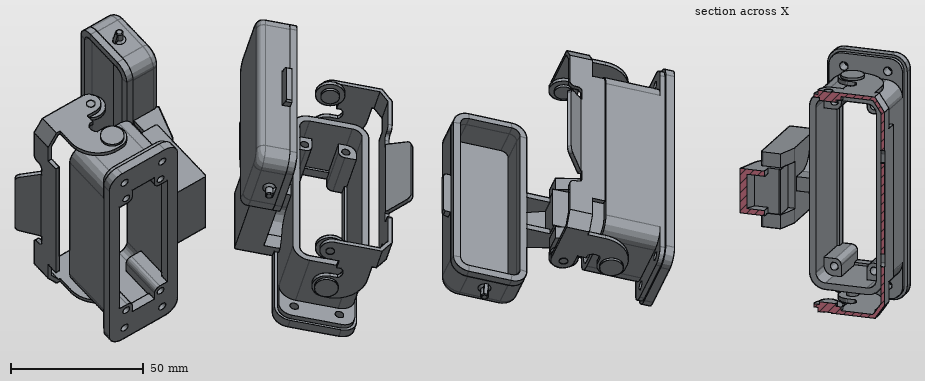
import cadquery as cq
import math


flange_length = 98.0
flange_width = 32.0
flange_corner = 6.1
flange_thickness = 3.5
step_thickness = 1.9
step_inset = 1.0
flange_hole_y = 8.8
flange_hole_z = 42.8
flange_hole_diameter = 3.3

housing_front_x = -26.95
housing_width = 29.6
housing_length = 79.0
housing_corner = 6.5
wall = 2.6
lip = 1.0
post_front_x = -18.1
post_size = 7.0
post_round = 2.45
screw_y = 8.0
screw_z = 33.0
screw_diameter = 3.1

inner_width = housing_width - 2 * wall
inner_length = housing_length - 2 * wall

cover_z = 0.4
cover_x = -59.8
cover_width = 29.6
cover_length = 79.6
cover_corner = 6.8
cover_back_y = 40.7
cover_rim_y = 25.1
cover_back_fillet = 2.9
rim_height = 3.1
rim_inset = 0.2
rim_corner = 6.1
rim_slope_height = 0.3
cover_wall = 2.9
cavity_corner = 3.3
cavity_depth = 13.2
cavity_mouth_depth = 3.1
cavity_mouth_flare = 0.4

bar_end_x = -77.4
bar_low_y = 28.1
bar_tip_y = 30.3
bar_root_y = 31.3
bar_length = 18.6
bar_chamfer = 0.7

latch_x = -59.7
latch_y = 32.5
latch_radius = 1.5
latch_height = 4.5
latch_base_radius = 2.6
latch_base_height = 0.9
latch_fin_reach = 2.6
latch_fin_thickness = 1.6
latch_chamfer = 0.4
latch_bury = 0.2

hinge_half = 15.0
hinge_front_x = -34.4
hinge_tail_x = -2.7
hinge_top_y = 31.6
hinge_bottom_y = 21.1
hinge_bevel_y = 23.6
hinge_bevel_x = -26.4
hinge_round = 0.8
tail_bottom_y = 16.7
bracket_bury = 0.3
bracket_rib_x = -24.0
bracket_rib_half = 2.8
bracket_arc_x = -17.3
bracket_arc_end_x = -9.6
bracket_arc_end_half = 11.0
bracket_foot_x = -7.2
bracket_end_x = -5.1
slot_half = 9.4
slot_end_x = -25.5
hinge_pin_x = -30.9
hinge_pin_y = 27.9
hinge_pin_radius = 1.5

arm_half = 9.0
arm_end_x = -27.0
arm_root_y = 40.4
arm_knee_x = -30.4
arm_knee_y = 35.9
arm_knee_drop = 3.1
arm_rib_y = 28.5
arm_rib_thickness = 2.3
arm_web_x = -35.0
arm_lip = 0.7
arm_chamfer = 0.3
arm_foot_y = 23.3
arm_back_wall = 2.0

sheet = 1.7
lever_left_x = -42.9
lever_foot_x = -33.9
lever_front_y = -19.8
lever_half = 44.4
lever_bend_y = -15.9
lever_bend_z = 38.7
tab_x = -29.0
tab_half = 30.7
notch_half = 23.7
notch_x = -38.1
notch_round = 2.0
flap_root_x = -38.6
flap_root_half = 18.2
flap_tip_half = 15.3
flap_round = 2.45
flap_length = 9.8
flap_angle = 50.0
flap_sheet = 1.6

pivot_x = -19.9
pivot_radius = 2.4
pivot_head_radius = 4.5
pivot_head_height = 1.0
pivot_eye_radius = 5.5

side_head_y = 2.6
catch_x = -30.3
catch_y = -1.4
scoop_start_y = -2.9
scoop_x = -27.9
scoop_y = -4.3
heel_mid_x = -17.9
heel_mid_y = -10.4
heel_end_x = -26.9
heel_y = -14.2

roller_x = -37.9
roller_y = 3.1
roller_radius = 5.6
roller_thickness = 1.5
roller_boss_radius = 3.5
roller_boss_height = 1.1
rivet_radius = 1.7
rivet_recess = 0.2


def both_ends(body, z=0):
    """The body together with its mirror image in the plane at height z."""
    return body.union(body.mirror("XY", (0, 0, z)))


def rounded_prism(x_start, x_end, width, length, corner):
    """Block along X with rounded long edges, centred on Y = Z = 0."""
    return (
        cq.Workplane("YZ", origin=(x_start, 0, 0))
        .rect(width, length)
        .extrude(x_end - x_start)
        .edges("|X")
        .fillet(corner)
    )


def disc(x, y, z, radius, height):
    """Round disc rising along +Z from height z."""
    return cq.Workplane("XY", origin=(x, y, z)).circle(radius).extrude(height)


def corner_posts():
    """Four screw posts in the inner corners, each with its free corner rounded."""
    post = (
        cq.Workplane("XY")
        .box(-post_front_x, post_size, post_size)
        .edges("|X and <Y")
        .edges("<Z")
        .fillet(post_round)
        .translate((post_front_x / 2, (inner_width - post_size) / 2, (inner_length - post_size) / 2))
    )
    limit = rounded_prism(post_front_x, 0, inner_width, inner_length, housing_corner - wall)
    posts = both_ends(post.intersect(limit))
    return posts.union(posts.mirror("XZ"))


def four_holes(x_start, y, z, diameter):
    """Four through holes along X at +-y, +-z, running from x_start to the flange face."""
    return (
        cq.Workplane("YZ", origin=(x_start, 0, 0))
        .rect(2 * y, 2 * z, forConstruction=True)
        .vertices()
        .circle(diameter / 2)
        .extrude(-x_start)
    )


def make_housing():
    step_front_x = -flange_thickness - step_thickness
    plate = rounded_prism(-flange_thickness, 0, flange_width, flange_length, flange_corner)
    step = rounded_prism(
        step_front_x, 0, housing_width, flange_length - 2 * step_inset, flange_corner - step_inset
    )
    shell = rounded_prism(housing_front_x, 0, housing_width, housing_length, housing_corner)
    inside = rounded_prism(
        housing_front_x, -flange_thickness, inner_width, inner_length, housing_corner - wall
    )
    window = rounded_prism(
        -flange_thickness, 0, inner_width - 2 * lip, inner_length - 2 * lip, housing_corner - wall - lip
    )
    body = plate.union(step).union(shell).cut(inside).cut(window).union(corner_posts())
    body = body.cut(four_holes(step_front_x, flange_hole_y, flange_hole_z, flange_hole_diameter))
    return body.cut(four_holes(post_front_x, screw_y, screw_z, screw_diameter))


def cover_block(y_start, y_end, width, length, corner):
    """Block along Y with rounded long edges, centred on the cover."""
    return (
        cq.Workplane("XZ", origin=(cover_x, y_start, cover_z))
        .rect(width, length)
        .extrude(y_start - y_end)
        .edges("|Y")
        .fillet(corner)
    )


def latch_pin():
    """Pin with a flared base and a fin toward -Y, standing on the +Z end of the cover."""
    end_z = cover_z + cover_length / 2
    base = (
        cq.Workplane("XY", origin=(latch_x, latch_y, end_z - latch_bury))
        .circle(latch_base_radius)
        .workplane(offset=latch_base_height + latch_bury)
        .circle(latch_radius)
        .loft()
    )
    pin = disc(latch_x, latch_y, end_z, latch_radius, latch_height).faces(">Z").chamfer(latch_chamfer)
    fin = (
        cq.Workplane("YZ", origin=(latch_x - latch_fin_thickness / 2, 0, 0))
        .moveTo(latch_y, end_z)
        .lineTo(latch_y - latch_fin_reach, end_z)
        .lineTo(latch_y - latch_radius, end_z + latch_height - latch_chamfer)
        .lineTo(latch_y, end_z + latch_height - latch_chamfer)
        .close()
        .extrude(latch_fin_thickness)
    )
    return base.union(pin).union(fin)


def cover_bar():
    """Wedge-shaped catch bar on the -X side of the cover."""
    root_x = cover_x - cover_width / 2
    bar = (
        cq.Workplane("XY", origin=(0, 0, cover_z - bar_length / 2))
        .moveTo(bar_end_x, bar_low_y)
        .lineTo(bar_end_x, bar_tip_y)
        .lineTo(root_x, bar_root_y)
        .lineTo(root_x + cover_wall / 2, bar_root_y)
        .lineTo(root_x + cover_wall / 2, bar_low_y)
        .close()
        .extrude(bar_length)
    )
    return bar.edges("<X and |Y").chamfer(bar_chamfer)


def make_cover():
    body = cover_block(cover_rim_y + rim_height, cover_back_y, cover_width, cover_length, cover_corner)
    body = body.faces(">Y").edges().fillet(cover_back_fillet)
    slope_start_y = cover_rim_y + rim_slope_height
    rim_width = cover_width - 2 * rim_inset
    rim_length = cover_length - 2 * rim_inset
    rim = cover_block(slope_start_y, cover_rim_y + rim_height, rim_width, rim_length, rim_corner)
    slope = (
        rim.faces("<Y")
        .wires()
        .toPending()
        .extrude(
            rim_slope_height,
            taper=math.degrees(math.atan((cover_wall - rim_inset) / rim_slope_height)),
            combine=False,
        )
    )
    mouth_width = cover_width - 2 * cover_wall
    mouth_length = cover_length - 2 * cover_wall
    cavity = cover_block(
        cover_rim_y,
        cover_rim_y + cavity_depth,
        mouth_width - 2 * cavity_mouth_flare,
        mouth_length - 2 * cavity_mouth_flare,
        cavity_corner - cavity_mouth_flare,
    )
    mouth = (
        cq.Workplane("XZ", origin=(cover_x, cover_rim_y, cover_z))
        .sketch()
        .rect(mouth_width, mouth_length)
        .vertices()
        .fillet(cavity_corner)
        .finalize()
        .extrude(-cavity_mouth_depth, taper=math.degrees(math.atan(cavity_mouth_flare / cavity_mouth_depth)))
    )
    body = body.union(rim).union(slope).union(cover_bar())
    return body.cut(cavity).cut(mouth).union(both_ends(latch_pin(), cover_z))


def make_arm():
    """Arm from the cover into the hinge slot, hollowed between two ribs."""
    side_x = cover_x + cover_width / 2
    root_x = side_x - cover_wall / 2
    knee_end_y = arm_knee_y - arm_knee_drop
    arm = (
        cq.Workplane("XY", origin=(0, 0, cover_z - arm_half))
        .moveTo(root_x, arm_rib_y)
        .lineTo(root_x, arm_root_y - cover_back_fillet)
        .lineTo(side_x, arm_root_y)
        .lineTo(arm_knee_x, arm_knee_y)
        .tangentArcPoint((arm_end_x, knee_end_y), relative=False)
        .lineTo(arm_end_x, arm_foot_y)
        .lineTo(arm_web_x - arm_lip, arm_foot_y)
        .lineTo(arm_web_x, arm_foot_y + arm_lip)
        .lineTo(arm_web_x, arm_rib_y)
        .close()
        .extrude(2 * arm_half)
    )
    outer_edges = cq.selectors.BoxSelector(
        (side_x, knee_end_y, cover_z - 2 * arm_half),
        (arm_end_x, cover_back_y, cover_z + 2 * arm_half),
    )
    arm = arm.faces("|Z").edges(outer_edges).chamfer(arm_chamfer)
    channel_half = arm_half - arm_rib_thickness
    channel = (
        cq.Workplane("XY", origin=(0, 0, cover_z - channel_half))
        .moveTo(side_x, arm_rib_y)
        .lineTo(side_x, arm_root_y - arm_back_wall)
        .lineTo(arm_web_x, arm_knee_y - arm_back_wall)
        .lineTo(arm_web_x, arm_rib_y)
        .close()
        .extrude(2 * channel_half)
    )
    return arm.cut(channel)


def make_hinge():
    block = (
        cq.Workplane("XY", origin=(0, 0, cover_z - hinge_half))
        .moveTo(hinge_front_x, hinge_top_y)
        .lineTo(hinge_tail_x, hinge_top_y)
        .lineTo(hinge_tail_x, tail_bottom_y)
        .lineTo(bracket_end_x, tail_bottom_y)
        .lineTo(bracket_end_x, hinge_bottom_y)
        .lineTo(hinge_bevel_x, hinge_bottom_y)
        .lineTo(hinge_front_x, hinge_bevel_y)
        .close()
        .extrude(2 * hinge_half)
        .edges("|Z and >Y")
        .fillet(hinge_round)
    )
    slot = cq.Workplane("XY").box(slot_end_x - hinge_front_x, hinge_top_y, 2 * slot_half)
    slot = slot.translate(((slot_end_x + hinge_front_x) / 2, hinge_top_y, cover_z))
    bracket_bottom_y = housing_width / 2 - bracket_bury
    arc_mid_x = bracket_arc_x + (bracket_arc_end_x - bracket_arc_x) * math.sin(math.pi / 4)
    arc_mid_z = bracket_arc_end_half - (bracket_arc_end_half - bracket_rib_half) * math.cos(math.pi / 4)
    foot = (
        cq.Workplane("XZ", origin=(0, bracket_bottom_y, cover_z))
        .moveTo(bracket_rib_x, -bracket_rib_half)
        .lineTo(bracket_rib_x, bracket_rib_half)
        .lineTo(bracket_arc_x, bracket_rib_half)
        .threePointArc((arc_mid_x, arc_mid_z), (bracket_arc_end_x, bracket_arc_end_half))
        .lineTo(bracket_foot_x, hinge_half)
        .lineTo(bracket_end_x, hinge_half)
        .lineTo(bracket_end_x, -hinge_half)
        .lineTo(bracket_foot_x, -hinge_half)
        .lineTo(bracket_arc_end_x, -bracket_arc_end_half)
        .threePointArc((arc_mid_x, -arc_mid_z), (bracket_arc_x, -bracket_rib_half))
        .close()
        .extrude(bracket_bottom_y - hinge_bottom_y)
    )
    pin_half = (hinge_half + slot_half) / 2
    pin = disc(hinge_pin_x, hinge_pin_y, cover_z - pin_half, hinge_pin_radius, 2 * pin_half)
    return block.cut(slot).union(foot).union(pin)


def lever_strap():
    """Sheet bent across the lever: long front face with a slanted stretch toward each end."""
    slant = math.atan2(lever_half - lever_bend_z, lever_bend_y - lever_front_y)
    inner_bend_y = lever_bend_y + sheet * math.tan(slant / 2)
    inner_bend_z = lever_bend_z - sheet * math.tan((math.pi / 2 - slant) / 2)
    inner_front_y = lever_front_y + sheet
    strap = (
        cq.Workplane("YZ", origin=(lever_left_x, 0, 0))
        .moveTo(lever_bend_y, lever_half)
        .lineTo(lever_front_y, lever_bend_z)
        .lineTo(lever_front_y, -lever_bend_z)
        .lineTo(lever_bend_y, -lever_half)
        .lineTo(inner_bend_y, -lever_half)
        .lineTo(inner_bend_y, -lever_half + sheet)
        .lineTo(inner_front_y, -inner_bend_z)
        .lineTo(inner_front_y, inner_bend_z)
        .lineTo(inner_bend_y, lever_half - sheet)
        .lineTo(inner_bend_y, lever_half)
        .close()
        .extrude(lever_foot_x - lever_left_x)
    )
    tab = (
        cq.Workplane("XZ", origin=((tab_x + notch_x) / 2, inner_front_y, 0))
        .rect(tab_x - notch_x, 2 * tab_half)
        .extrude(sheet)
    )
    notch = (
        cq.Workplane("XZ", origin=(lever_left_x, inner_front_y, 0))
        .rect(2 * (notch_x - lever_left_x), 2 * notch_half)
        .extrude(sheet)
        .edges("|Y and >X")
        .fillet(notch_round)
    )
    strap = strap.union(tab).cut(notch)
    notch_corners = cq.selectors.BoxSelector(
        (lever_left_x - sheet, lever_front_y - sheet, -tab_half),
        (lever_left_x + sheet, inner_front_y + sheet, tab_half),
    )
    strap = strap.edges(notch_corners).edges("|Y").fillet(notch_round)
    ledge = (
        cq.Workplane("XZ", origin=((flap_root_x + notch_x) / 2, inner_front_y, 0))
        .rect(notch_x - flap_root_x, 2 * flap_root_half)
        .extrude(sheet)
    )
    return strap.union(ledge)


def lever_flap():
    """Tapered finger flap slanting down and out from the front of the strap."""
    angle = math.radians(flap_angle)
    along = cq.Vector(-math.cos(angle), -math.sin(angle), 0)
    across = cq.Vector(-math.sin(angle), math.cos(angle), 0)
    root = 2 * flap_sheet
    flap = (
        cq.Workplane(cq.Plane(origin=(flap_root_x, lever_front_y, 0), xDir=along, normal=across))
        .moveTo(-root, -flap_root_half)
        .lineTo(0, -flap_root_half)
        .lineTo(flap_length, -flap_tip_half)
        .lineTo(flap_length, flap_tip_half)
        .lineTo(0, flap_root_half)
        .lineTo(-root, flap_root_half)
        .close()
        .extrude(flap_sheet)
        .faces(cq.selectors.DirectionMinMaxSelector(along))
        .edges(cq.selectors.ParallelDirSelector(across))
        .fillet(flap_round)
    )
    behind = cq.Workplane("XZ", origin=(flap_root_x, lever_front_y + sheet, 0))
    behind = behind.rect(2 * flap_length, 2 * lever_half).extrude(-flap_length)
    return flap.cut(behind)


def lever_side():
    """Hooked side plate at the +Z end with its pivot and roller."""
    plate_z = lever_half - sheet
    head_radius = (lever_foot_x - lever_left_x) / 2
    head_x = (lever_foot_x + lever_left_x) / 2
    plate = (
        cq.Workplane("XY", origin=(0, 0, plate_z))
        .moveTo(lever_left_x, lever_bend_y)
        .lineTo(lever_left_x, side_head_y)
        .threePointArc((head_x, side_head_y + head_radius), (lever_foot_x, side_head_y))
        .lineTo(lever_foot_x, catch_y)
        .lineTo(catch_x, catch_y)
        .lineTo(catch_x, scoop_start_y)
        .threePointArc((scoop_x, scoop_y), (pivot_x - pivot_eye_radius, scoop_start_y))
        .lineTo(pivot_x - pivot_eye_radius, 0)
        .threePointArc((pivot_x, pivot_eye_radius), (pivot_x + pivot_eye_radius, 0))
        .lineTo(pivot_x + pivot_eye_radius, scoop_start_y)
        .threePointArc((heel_mid_x, heel_mid_y), (heel_end_x, heel_y))
        .lineTo(lever_foot_x, heel_y)
        .lineTo(lever_foot_x, lever_bend_y)
        .close()
        .extrude(sheet)
    )
    plate = plate.cut(disc(roller_x, roller_y, lever_half - rivet_recess, rivet_radius, rivet_recess))
    pivot_start_z = housing_length / 2 - wall / 2
    pivot = disc(pivot_x, 0, pivot_start_z, pivot_radius, plate_z - pivot_start_z)
    head = disc(pivot_x, 0, lever_half, pivot_head_radius, pivot_head_height)
    roller_z = plate_z - roller_thickness
    roller = disc(roller_x, roller_y, roller_z, roller_radius, roller_thickness)
    boss = disc(roller_x, roller_y, roller_z - roller_boss_height, roller_boss_radius, roller_boss_height)
    return plate.union(pivot).union(head).union(roller).union(boss)


lever = lever_strap().union(lever_flap()).union(both_ends(lever_side()))
result = make_housing().union(make_hinge()).union(make_arm()).union(make_cover()).union(lever)